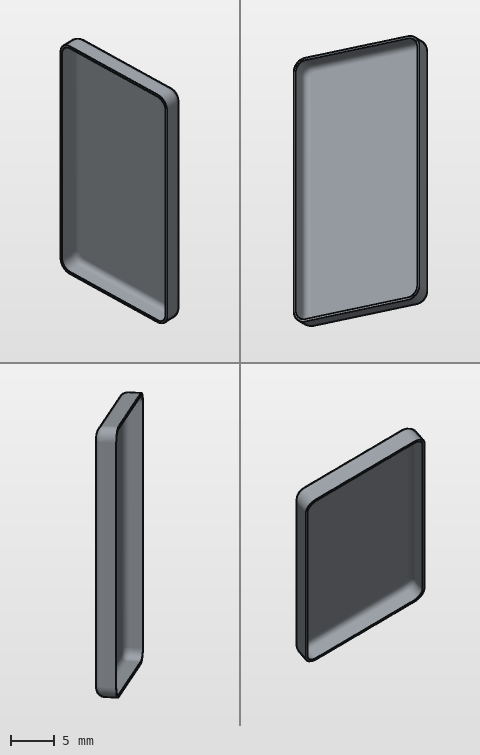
import cadquery as cq

width = 16.6
depth = 2.5
height = 32.1

wall = 0.3
corner_radius = 1.5
edge_radius = 1.0


def rounded_block(inset):
    """Block with rounded corners and a rounded back edge, shrunk inward by inset."""
    return (
        cq.Workplane("XY")
        .box(width - 2 * inset, depth - inset, height - 2 * inset)
        .translate((0, -inset / 2, 0))
        .edges("|Y")
        .fillet(corner_radius - inset)
        .faces(">Y")
        .edges()
        .fillet(edge_radius - inset)
    )


outer = rounded_block(0)
cavity = rounded_block(wall)
result = outer.cut(cavity)